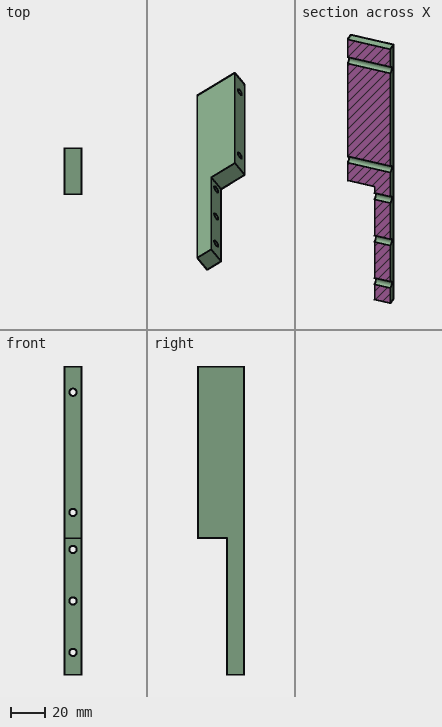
import cadquery as cq

width = 10.0
height = 180.0
depth = 27.0

leg_depth = width
head_height = 100.0
leg_height = height - head_height

hole_diameter = 4.1

head_hole_inset = 15.0
head_hole_heights = [leg_height + head_hole_inset, height - head_hole_inset]

leg_hole_count = 3
leg_hole_pitch = 30.0
lowest_leg_hole = 13.1
leg_hole_heights = [lowest_leg_hole + i * leg_hole_pitch for i in range(leg_hole_count)]


def block(block_depth, block_height, bottom):
    """Full-width block with its back face at Y = depth."""
    solid = cq.Workplane("XY").box(width, block_depth, block_height, centered=(True, False, False))
    return solid.translate((0, depth - block_depth, bottom))


def through_holes(heights):
    """Cylinders along Y through the whole depth at the given heights."""
    return (
        cq.Workplane("XZ")
        .pushPoints([(0, z) for z in heights])
        .circle(hole_diameter / 2)
        .extrude(-depth)
    )


leg = block(leg_depth, leg_height, 0)
head = block(depth, head_height, leg_height)

result = leg.union(head).clean().cut(through_holes(head_hole_heights + leg_hole_heights))